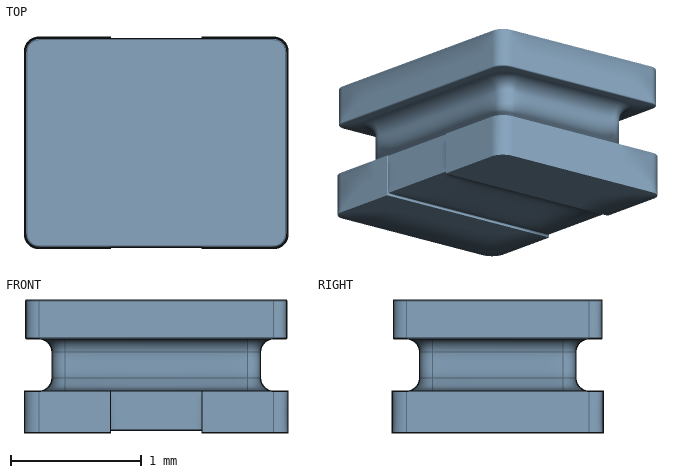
import cadquery as cq

core_length = 2.0
core_width = 1.6
corner_radius = 0.1
flange_thickness = 0.3
waist_height = 0.4
waist_inset = 0.2
waist_fillet = 0.1
rim_fillet = 0.01

side_plating = 0.01
bottom_plating = 0.02
terminal_gap = 0.7

base_bottom = bottom_plating
base_top = base_bottom + flange_thickness
flange_bottom = base_top + waist_height
waist_length = core_length - 2 * waist_inset
waist_width = core_width - 2 * waist_inset


def rounded_block(length, width, bottom, height, radius):
    """Block centred on Z with rounded vertical edges."""
    block = cq.Workplane("XY").box(length, width, height, centered=(True, True, False))
    return block.edges("|Z").fillet(radius).translate((0, 0, bottom))


def make_core():
    """Base and top flange joined by a narrower waist with filleted roots."""
    base = rounded_block(core_length, core_width, base_bottom, flange_thickness, corner_radius)
    waist = rounded_block(waist_length, waist_width, base_top, waist_height, corner_radius)
    flange = rounded_block(core_length, core_width, flange_bottom, flange_thickness, corner_radius)
    flange = flange.faces("<Z or >Z").edges().fillet(rim_fillet)

    core = base.union(waist).union(flange)
    root_reach = waist_fillet / 2
    root_edges = cq.selectors.BoxSelector(
        (-waist_length / 2 - root_reach, -waist_width / 2 - root_reach, base_top - root_reach),
        (waist_length / 2 + root_reach, waist_width / 2 + root_reach, flange_bottom + root_reach),
    )
    return core.edges(root_edges).edges("not |Z").fillet(waist_fillet)


def make_terminals():
    """Plating around both ends of the base, split by a gap along X."""
    terminal_length = core_length + 2 * side_plating
    terminal_width = core_width + 2 * side_plating
    sleeve = rounded_block(terminal_length, terminal_width, 0, base_top, corner_radius + side_plating)
    gap = cq.Workplane("XY").box(terminal_gap, terminal_width, base_top, centered=(True, True, False))
    return sleeve.cut(gap)


result = make_core().union(make_terminals())